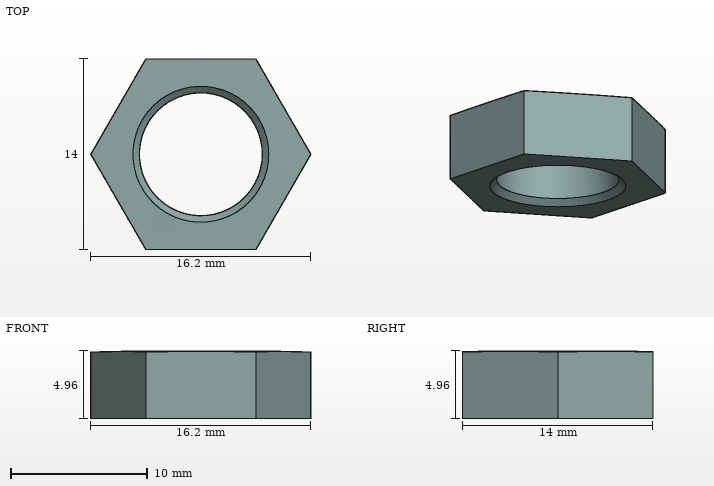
import cadquery as cq

across_corners = 16.17
height = 4.96
bore_diameter = 9.0
countersink_diameter = 9.98
corner_drop = 0.073
envelope_margin = 0.81

corner_radius = across_corners / 2
bore_radius = bore_diameter / 2
rim_radius = countersink_diameter / 2
countersink_depth = rim_radius - bore_radius

slope = corner_drop / (corner_radius - rim_radius)
envelope_radius = corner_radius + envelope_margin
apex_height = height + slope * rim_radius
envelope_edge_height = apex_height - slope * envelope_radius


def revolve_profile(points):
    """Revolve a closed (radius, height) profile about the Z axis."""
    return cq.Workplane("XZ").polyline(points).close().revolve(360, (0, 0), (0, 1))


hexagon = cq.Workplane("XY").polygon(6, across_corners).extrude(apex_height)
envelope = revolve_profile([
    (0, 0),
    (envelope_radius, 0),
    (envelope_radius, envelope_edge_height),
    (0, apex_height),
])

bore = revolve_profile([
    (0, 0),
    (rim_radius, 0),
    (bore_radius, countersink_depth),
    (bore_radius, height - countersink_depth),
    (rim_radius, height),
    (rim_radius, apex_height),
    (0, apex_height),
])

result = hexagon.intersect(envelope).cut(bore)